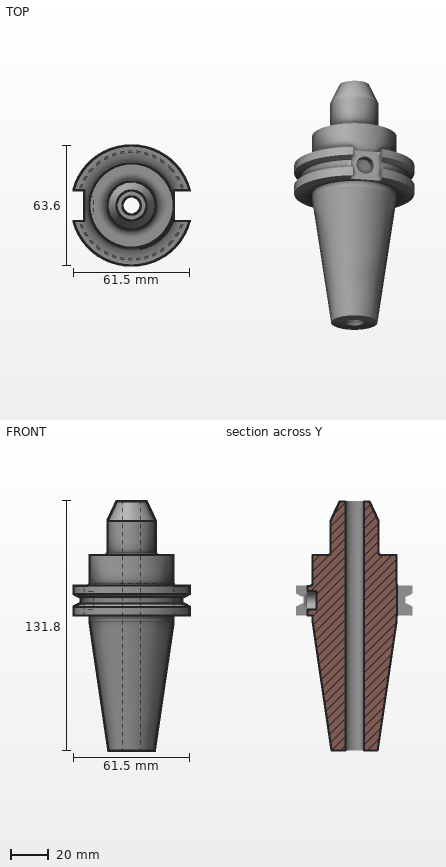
import cadquery as cq

total_height = 131.8
gauge_height = 68.2
flange_bottom = 71.4
flange_top = 87.2
shoulder_height = 103.4
nose_cone_base = 121.3

taper_end_radius = 12.3
body_radius = 22.3
flange_radius = 31.8
groove_radius = 28.0
groove_step_radius = 28.9
nose_radius = 12.8
nose_tip_radius = 7.9
bore_radius = 4.7
root_fillet = 1.0

groove_center = 79.5
groove_floor_width = 3.5
groove_mouth_width = 6.9

slot_width = 16.1
slot_floor_left = -25
slot_floor_right = 22.5

side_hole_radius = 4.7
side_hole_depth = 4.9


def make_turned_body():
    """Revolve the taper, flange, shoulder and nose about the tool axis."""
    floor_half = groove_floor_width / 2
    mouth_half = groove_mouth_width / 2
    body = (
        cq.Workplane("XZ")
        .moveTo(0, 0)
        .lineTo(taper_end_radius, 0)
        .lineTo(body_radius, gauge_height)
        .lineTo(body_radius, flange_bottom)
        .lineTo(flange_radius, flange_bottom)
        .lineTo(flange_radius, groove_center - mouth_half)
        .lineTo(groove_step_radius, groove_center - floor_half)
        .lineTo(groove_radius, groove_center - floor_half)
        .lineTo(groove_radius, groove_center + floor_half)
        .lineTo(groove_step_radius, groove_center + floor_half)
        .lineTo(flange_radius, groove_center + mouth_half)
        .lineTo(flange_radius, flange_top)
        .lineTo(body_radius + root_fillet, flange_top)
        .radiusArc((body_radius, flange_top + root_fillet), root_fillet)
        .lineTo(body_radius, shoulder_height)
        .lineTo(nose_radius + root_fillet, shoulder_height)
        .radiusArc((nose_radius, shoulder_height + root_fillet), root_fillet)
        .lineTo(nose_radius, nose_cone_base)
        .lineTo(nose_tip_radius, total_height)
        .lineTo(0, total_height)
        .close()
    )
    return body.revolve(360, (0, 0, 0), (0, 1, 0))


def make_bore():
    """Through bore along the tool axis."""
    return cq.Workplane("XY").circle(bore_radius).extrude(total_height)


def make_drive_slot(floor_x):
    """Slot through the flange height, from its floor out past the rim."""
    outer_x = flange_radius if floor_x > 0 else -flange_radius
    return (
        cq.Workplane("XY", origin=((floor_x + outer_x) / 2, 0, flange_bottom))
        .rect(abs(outer_x - floor_x), slot_width)
        .extrude(flange_top + root_fillet - flange_bottom)
    )


def make_side_hole():
    """Flat-bottomed hole running inward from the left slot floor."""
    return (
        cq.Workplane("YZ", origin=(slot_floor_left, 0, groove_center))
        .circle(side_hole_radius)
        .extrude(side_hole_depth)
    )


result = make_turned_body().cut(make_bore())
for slot_floor in (slot_floor_left, slot_floor_right):
    result = result.cut(make_drive_slot(slot_floor))
result = result.cut(make_side_hole())